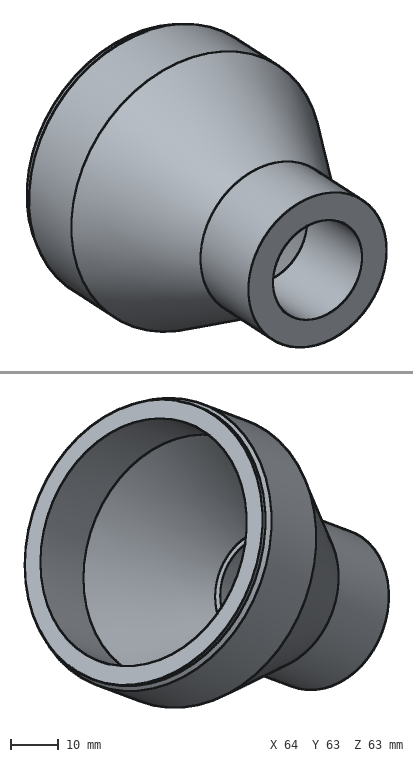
import cadquery as cq

length = 64.0

body_diameter = 63.0
lip_diameter = 61.3
spigot_diameter = 34.8
lip_length = 1.1
bevel_end = 2.1
body_end = 18.2
spigot_length = 18.1
spigot_start = length - spigot_length

mouth_diameter = 53.2
throat_diameter = 25.0
bore_diameter = 22.4
mouth_depth = 15.5

cone_slope = (body_diameter - spigot_diameter) / (spigot_start - body_end)
throat_depth = mouth_depth + (mouth_diameter - throat_diameter) / cone_slope


def turned(stations):
    """Solid of revolution about X from (axial position, diameter) stations."""
    first_position = stations[0][0]
    last_position = stations[-1][0]
    outline = [(position, diameter / 2) for position, diameter in stations]
    return (
        cq.Workplane("XY")
        .polyline([(first_position, 0), *outline, (last_position, 0)])
        .close()
        .revolve(360, (0, 0, 0), (1, 0, 0))
    )


outer_body = turned([
    (0, lip_diameter),
    (lip_length, lip_diameter),
    (bevel_end, body_diameter),
    (body_end, body_diameter),
    (spigot_start, spigot_diameter),
    (length, spigot_diameter),
])

passage = turned([
    (0, mouth_diameter),
    (mouth_depth, mouth_diameter),
    (throat_depth, throat_diameter),
    (throat_depth, bore_diameter),
    (length, bore_diameter),
])

result = outer_body.cut(passage)